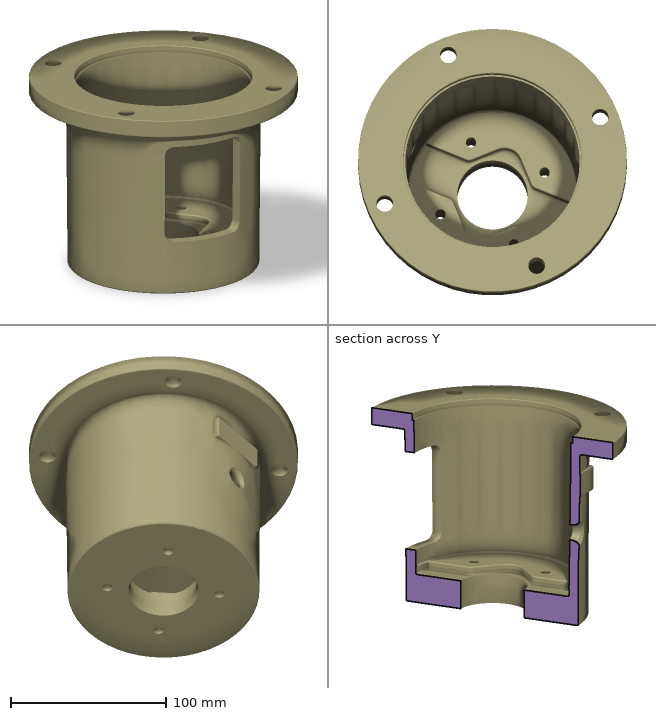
import cadquery as cq
import math

height = 127.0
flange_radius = 86.5
flange_thickness = 11.6
flange_bottom_z = height - flange_thickness

body_top_radius = 62.8
body_bottom_radius = 61.8
neck_fillet = 1.2
flange_top_fillet = 0.5
flange_bottom_fillet = 1.0
base_chamfer = 0.7

pilot_radius = 57.3
pilot_depth = 4.5
pilot_bottom_z = height - pilot_depth
pilot_chamfer = 0.3
bore_top_radius = 56.0
bore_floor_radius = 54.7
bore_floor_fillet = 1.2

pad_top_z = 24.2
channel_floor_z = 19.0
channel_half_width = 13.8
channel_apex_y = 31.3
channel_shoulder_radius = 5.2
channel_apex_radius = 11.2
apex_corner_y = channel_apex_y + channel_apex_radius * (math.sqrt(2) - 1)
shoulder_x = apex_corner_y - channel_half_width
channel_bottom_fillet = 1.2
channel_top_fillet = 0.9

shaft_hole_radius = 22.7
pump_hole_radius = 3.3
pump_hole_offset = 25.6
flange_hole_radius = 5.4
flange_hole_offset = 53.0

window_half_width = 27.0
window_outer_x = 56.5
window_jamb_slope = 0.2
window_bottom_z = 35.3
window_top_z = 100.5
window_corner_radius = 6.0

port_z = 62.3
port_mouth_radius = 7.8
port_throat_radius = 5.7
port_bore_radius = 4.7
port_bore_x = 55.4

plate_width = 39.6
plate_bottom_z = 86.5
plate_height = 16.6
plate_face_x = -63.0
plate_corner_radius = 1.7
plate_edge_fillet = 1.0

axis_start = (0, 0, 0)
axis_end = (0, 1, 0)
pick_margin = 0.2


def make_outside():
    """Solid flange and tapered body, revolved about Z."""
    rim_z = flange_bottom_z + flange_bottom_fillet
    return (
        cq.Workplane("XZ")
        .lineTo(body_bottom_radius - base_chamfer, 0)
        .lineTo(body_bottom_radius, base_chamfer)
        .lineTo(body_top_radius, flange_bottom_z - neck_fillet)
        .radiusArc((body_top_radius + neck_fillet, flange_bottom_z), neck_fillet)
        .lineTo(flange_radius - flange_bottom_fillet, flange_bottom_z)
        .radiusArc((flange_radius, rim_z), -flange_bottom_fillet)
        .lineTo(flange_radius, height - flange_top_fillet)
        .radiusArc((flange_radius - flange_top_fillet, height), -flange_top_fillet)
        .lineTo(0, height)
        .close()
        .revolve(360, axis_start, axis_end)
    )


def make_bore(floor_z):
    """Pilot recess and tapered bore down to floor_z, rounded at the floor."""
    fillet_edge = (bore_floor_radius, floor_z + bore_floor_fillet)
    return (
        cq.Workplane("XZ")
        .moveTo(0, floor_z)
        .lineTo(bore_floor_radius - bore_floor_fillet, floor_z)
        .radiusArc(fillet_edge, -bore_floor_fillet)
        .lineTo(bore_top_radius, pilot_bottom_z)
        .lineTo(pilot_radius, pilot_bottom_z)
        .lineTo(pilot_radius, height - pilot_chamfer)
        .lineTo(pilot_radius + pilot_chamfer, height)
        .lineTo(0, height)
        .close()
        .revolve(360, axis_start, axis_end)
    )


def make_channel():
    """Channel along X, widened at 45 degrees around the shaft hole."""
    reach = flange_radius + channel_half_width
    corners = [
        (-reach, channel_half_width),
        (-shoulder_x, channel_half_width),
        (0, apex_corner_y),
        (shoulder_x, channel_half_width),
        (reach, channel_half_width),
    ]
    mirrored = [(x, -y) for x, y in reversed(corners)]
    channel = (
        cq.Workplane("XY", origin=(0, 0, channel_floor_z))
        .polyline(corners + mirrored)
        .close()
        .extrude(pad_top_z - channel_floor_z)
    )
    apexes = cq.selectors.BoxSelector(
        (-pick_margin, -flange_radius, 0),
        (pick_margin, flange_radius, height),
    )
    shoulders = cq.selectors.BoxSelector(
        (-shoulder_x - pick_margin, -channel_half_width - pick_margin, 0),
        (shoulder_x + pick_margin, channel_half_width + pick_margin, height),
    )
    channel = channel.edges("|Z").edges(apexes).fillet(channel_apex_radius)
    channel = channel.edges("|Z").edges(shoulders).fillet(channel_shoulder_radius)
    return channel.faces("<Z").edges("not |Y").fillet(channel_bottom_fillet)


def make_channel_with_rounded_rim():
    """Channel that flares out where the upper edges of the pads are rounded."""
    floor_disc = (
        cq.Workplane("XY", origin=(0, 0, channel_floor_z))
        .circle(flange_radius)
        .extrude(pad_top_z - channel_floor_z)
    )
    rim = cq.selectors.BoxSelector(
        (-flange_radius, -apex_corner_y, pad_top_z - pick_margin),
        (flange_radius, apex_corner_y, pad_top_z + pick_margin),
    )
    pads = floor_disc.cut(make_channel()).edges(rim).fillet(channel_top_fillet)
    return floor_disc.cut(pads)


def make_cavity():
    """Pilot, bore and channel joined into one hollow."""
    channel = make_channel_with_rounded_rim().intersect(make_bore(channel_floor_z))
    return make_bore(pad_top_z).union(channel)


def make_window():
    """Rounded opening through the +X wall, its jambs slanting apart outwards."""
    start_half_width = window_half_width - window_outer_x * window_jamb_slope
    end_half_width = window_half_width + (flange_radius - window_outer_x) * window_jamb_slope
    return (
        cq.Workplane("XY", origin=(0, 0, window_bottom_z))
        .polyline([
            (0, -start_half_width),
            (flange_radius, -end_half_width),
            (flange_radius, end_half_width),
            (0, start_half_width),
        ])
        .close()
        .extrude(window_top_z - window_bottom_z)
        .edges("not (|Y or |Z)")
        .fillet(window_corner_radius)
    )


def make_port():
    """Tapered round hole through the -X wall with a 45 degree countersink."""
    wall_x = body_bottom_radius + (body_top_radius - body_bottom_radius) * port_z / flange_bottom_z
    throat_x = wall_x - (port_mouth_radius - port_throat_radius)
    overrun = 1.7
    return (
        cq.Workplane("XY")
        .lineTo(-wall_x - overrun, 0)
        .lineTo(-wall_x - overrun, port_mouth_radius + overrun)
        .lineTo(-throat_x, port_throat_radius)
        .lineTo(-port_bore_x, port_bore_radius)
        .lineTo(0, port_bore_radius)
        .close()
        .revolve(360, (0, 0, 0), (1, 0, 0))
        .translate((0, 0, port_z))
    )


def make_plate():
    """Flat pad on the -X wall, rounded at its corners and outer edge."""
    inner_x = -(bore_top_radius + body_top_radius) / 2
    return (
        cq.Workplane("YZ", origin=(plate_face_x, 0, plate_bottom_z + plate_height / 2))
        .rect(plate_width, plate_height)
        .extrude(inner_x - plate_face_x)
        .edges("|X")
        .fillet(plate_corner_radius)
        .faces("<X")
        .edges()
        .fillet(plate_edge_fillet)
    )


def square_of_holes(offset, radius):
    """Four upright holes at the corners of a centred square."""
    return (
        cq.Workplane("XY")
        .rect(2 * offset, 2 * offset, forConstruction=True)
        .vertices()
        .circle(radius)
        .extrude(height)
    )


shaft_hole = cq.Workplane("XY").circle(shaft_hole_radius).extrude(height)

result = (
    make_outside()
    .union(make_plate())
    .cut(make_cavity())
    .cut(make_window())
    .cut(make_port())
    .cut(shaft_hole)
    .cut(square_of_holes(pump_hole_offset, pump_hole_radius))
    .cut(square_of_holes(flange_hole_offset, flange_hole_radius))
)